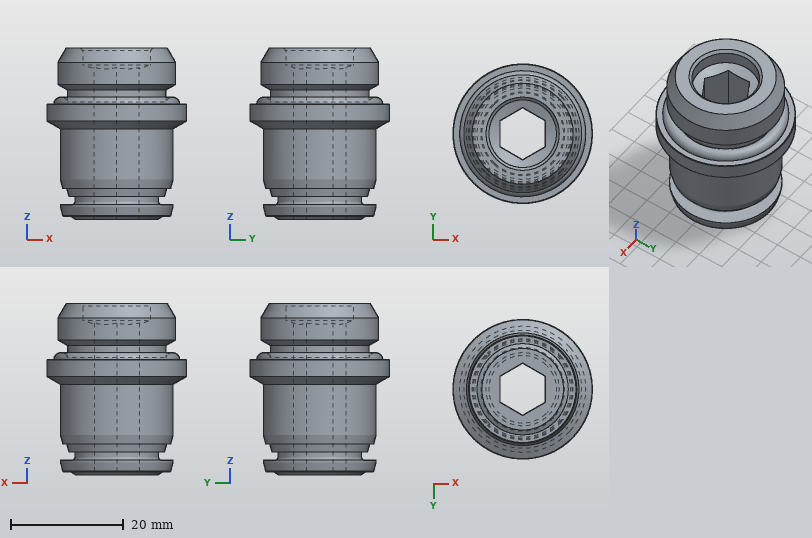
import cadquery as cq
import math

TOP = 30.5
COLLAR_BOTTOM = 24.0
FLANGE_TOP = 20.5
FLANGE_EDGE = 17.5
BODY_BOTTOM = 7.05
UPPER_TAPER_BOTTOM = 5.5
LOWER_TAPER_BOTTOM = 4.1
FOOT_TOP = 2.65
FOOT_BAND_BOTTOM = 2.2
FOOT_BOTTOM = 0.55

COLLAR_RADIUS = 20.95 / 2
NECK_RADIUS = 17.5 / 2
FLANGE_RADIUS = 24.8 / 2
BODY_RADIUS = 20.0 / 2
LOWER_TAPER_RADIUS = 8.88
GROOVE_RADIUS = 14.9 / 2
NOSE_RADIUS = 8.1
BOTTOM_RADIUS = 7.25

TOP_CHAMFER_WIDTH = 1.5
TOP_CHAMFER_ANGLE = math.radians(30)
UNDERCUT_ANGLE = math.radians(30)
TAPER_ANGLE = math.radians(15)
FLANGE_CHAMFER = 0.1
GROOVE_FILLET = 0.55
FOOT_CHAMFER_HEIGHT = 0.2
FOOT_CHAMFER_WIDTH = 0.15

RING_CENTER_RADIUS = 9.95
RING_SECTION_RADIUS = 1.25

BORE_RADIUS = 12.0 / 2
BORE_DEPTH = 3.0
BORE_CHAMFER = 0.5
CONE_ANGLE = math.radians(20)
HEX_ACROSS_FLATS = 8.0
HEX_ACROSS_CORNERS = HEX_ACROSS_FLATS / math.cos(math.radians(30))


def taper_inset(height):
    """Radial inset of a tapered face over the given height."""
    return height * math.tan(TAPER_ANGLE)


def undercut_height(outer_radius, inner_radius):
    """Height of the conical underside between two radii."""
    return (outer_radius - inner_radius) * math.tan(UNDERCUT_ANGLE)


def make_body():
    """Solid of revolution, outlined from the bottom face up to the top face."""
    foot_chamfer_top = FOOT_BOTTOM + FOOT_CHAMFER_HEIGHT
    foot_radius = BODY_RADIUS - taper_inset(FOOT_BAND_BOTTOM - foot_chamfer_top)
    fillet_outer_radius = GROOVE_RADIUS + GROOVE_FILLET
    fillet_top = FOOT_TOP + GROOVE_FILLET
    fillet_mid_offset = GROOVE_FILLET * (1 - math.sqrt(0.5))
    lower_taper_end_radius = LOWER_TAPER_RADIUS - taper_inset(UPPER_TAPER_BOTTOM - LOWER_TAPER_BOTTOM)
    upper_taper_end_radius = BODY_RADIUS - taper_inset(BODY_BOTTOM - UPPER_TAPER_BOTTOM)
    body_top = FLANGE_EDGE - undercut_height(FLANGE_RADIUS, BODY_RADIUS)
    neck_top = COLLAR_BOTTOM - undercut_height(COLLAR_RADIUS, NECK_RADIUS)
    collar_top = TOP - TOP_CHAMFER_WIDTH / math.tan(TOP_CHAMFER_ANGLE)

    outline = (
        cq.Workplane("XZ")
        .moveTo(0, 0)
        .lineTo(BOTTOM_RADIUS, 0)
        .lineTo(NOSE_RADIUS, FOOT_BOTTOM)
        .lineTo(foot_radius - FOOT_CHAMFER_WIDTH, FOOT_BOTTOM)
        .lineTo(foot_radius, foot_chamfer_top)
        .lineTo(BODY_RADIUS, FOOT_BAND_BOTTOM)
        .lineTo(BODY_RADIUS, FOOT_TOP)
        .lineTo(fillet_outer_radius, FOOT_TOP)
        .threePointArc(
            (GROOVE_RADIUS + fillet_mid_offset, FOOT_TOP + fillet_mid_offset),
            (GROOVE_RADIUS, fillet_top),
        )
        .lineTo(GROOVE_RADIUS, LOWER_TAPER_BOTTOM)
        .lineTo(lower_taper_end_radius, LOWER_TAPER_BOTTOM)
        .lineTo(LOWER_TAPER_RADIUS, UPPER_TAPER_BOTTOM)
        .lineTo(upper_taper_end_radius, UPPER_TAPER_BOTTOM)
        .lineTo(BODY_RADIUS, BODY_BOTTOM)
        .lineTo(BODY_RADIUS, body_top)
        .lineTo(FLANGE_RADIUS, FLANGE_EDGE)
        .lineTo(FLANGE_RADIUS, FLANGE_TOP - FLANGE_CHAMFER)
        .lineTo(FLANGE_RADIUS - FLANGE_CHAMFER, FLANGE_TOP)
        .lineTo(NECK_RADIUS, FLANGE_TOP)
        .lineTo(NECK_RADIUS, neck_top)
        .lineTo(COLLAR_RADIUS, COLLAR_BOTTOM)
        .lineTo(COLLAR_RADIUS, collar_top)
        .lineTo(COLLAR_RADIUS - TOP_CHAMFER_WIDTH, TOP)
        .lineTo(0, TOP)
        .close()
    )
    return outline.revolve(360, (0, 0, 0), (0, 1, 0))


def make_seal_ring():
    """Seal ring whose upper half stands proud of the flange."""
    section = cq.Workplane("XZ").center(RING_CENTER_RADIUS, FLANGE_TOP).circle(RING_SECTION_RADIUS)
    return section.revolve(360, (-RING_CENTER_RADIUS, 0, 0), (-RING_CENTER_RADIUS, 1, 0))


def make_socket():
    """Chamfered round bore with a conical floor, leading into a through hexagon."""
    bore_floor = TOP - BORE_DEPTH
    cone_tip = bore_floor - BORE_RADIUS * math.tan(CONE_ANGLE)
    bore = (
        cq.Workplane("XZ")
        .moveTo(0, cone_tip)
        .lineTo(BORE_RADIUS, bore_floor)
        .lineTo(BORE_RADIUS, TOP - BORE_CHAMFER)
        .lineTo(BORE_RADIUS + BORE_CHAMFER, TOP)
        .lineTo(0, TOP)
        .close()
        .revolve(360, (0, 0, 0), (0, 1, 0))
    )
    hexagon = (
        cq.Workplane("XY")
        .transformed(rotate=(0, 0, 90))
        .polygon(6, HEX_ACROSS_CORNERS)
        .extrude(TOP)
    )
    return bore.union(hexagon)


result = make_body().union(make_seal_ring()).cut(make_socket())